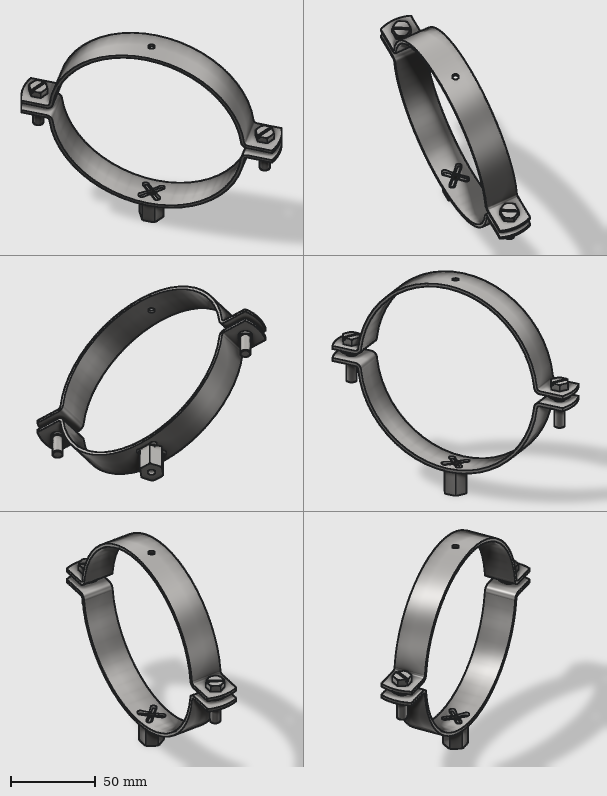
import cadquery as cq
import math

overall_length = 157.8
overall_height = 136.6
strap_width = 20.0
strap_thickness = 2.0
ring_radius = 60.1
ear_gap = 5.7
bend_radius = 2.0
ear_side_length = 76.8
top_hole_diameter = 3.8

screw_x = 69.4
shank_diameter = 6.3
shank_end_chamfer = 0.5
shank_bottom_z = -20.0
head_across_flats = 10.0
head_height = 4.3
slot_width = 1.3
slot_depth = 1.4
slot_angle = 60.0

hex_chamfer_width = 0.5
hex_chamfer_height = 0.5

collar_diameter = 8.2
collar_height = 1.9

washer_diameter = 13.0
washer_thickness = 0.5

nut_across_flats = 13.0
nut_bore_diameter = 4.4

cross_arm_length = 16.4
cross_groove_width = 3.3
cross_bump_width = 2.4
cross_depth = 0.8
cross_taper = 45.0
cross_angle = 45.0

inner_radius = ring_radius - strap_thickness
ear_inner_z = ear_gap / 2
ear_outer_z = ear_inner_z + strap_thickness
half_length = overall_length / 2
half_width = strap_width / 2
bend_center_z = ear_outer_z + bend_radius
ring_end_outer_x = math.sqrt(ring_radius ** 2 - bend_center_z ** 2)
ring_end_inner_x = math.sqrt(inner_radius ** 2 - bend_center_z ** 2)
bend_center_x = ring_end_outer_x + bend_radius
nut_bottom_z = ring_radius - overall_height


def bend_middle(radius):
    """Point halfway round a quarter-circle bend."""
    offset = radius * math.sqrt(0.5)
    return (bend_center_x - offset, bend_center_z - offset)


def mirror_x(point):
    return (-point[0], point[1])


def strap_half():
    """Upper half ring with a bent ear at each end and rounded ear tips."""
    ring_end_outer = (ring_end_outer_x, bend_center_z)
    ring_end_inner = (ring_end_inner_x, bend_center_z)
    outer_bend_middle = bend_middle(bend_radius)
    inner_bend_middle = bend_middle(bend_radius + strap_thickness)

    profile = (
        cq.Workplane("XZ", origin=(0, half_width, 0))
        .moveTo(half_length, ear_outer_z)
        .lineTo(bend_center_x, ear_outer_z)
        .threePointArc(outer_bend_middle, ring_end_outer)
        .threePointArc((0, ring_radius), mirror_x(ring_end_outer))
        .threePointArc(mirror_x(outer_bend_middle), (-bend_center_x, ear_outer_z))
        .lineTo(-half_length, ear_outer_z)
        .lineTo(-half_length, ear_inner_z)
        .lineTo(-bend_center_x, ear_inner_z)
        .threePointArc(mirror_x(inner_bend_middle), mirror_x(ring_end_inner))
        .threePointArc((0, inner_radius), ring_end_inner)
        .threePointArc(inner_bend_middle, (bend_center_x, ear_inner_z))
        .lineTo(half_length, ear_inner_z)
        .close()
        .extrude(strap_width)
    )
    plan = (
        cq.Workplane("XY")
        .moveTo(ear_side_length, -half_width)
        .threePointArc((half_length, 0), (ear_side_length, half_width))
        .lineTo(-ear_side_length, half_width)
        .threePointArc((-half_length, 0), (-ear_side_length, -half_width))
        .close()
        .extrude(ring_radius)
    )
    return profile.intersect(plan)


def screw_positions(z):
    return cq.Workplane("XY", origin=(0, 0, z)).pushPoints([(-screw_x, 0), (screw_x, 0)])


def screw_holes():
    return screw_positions(shank_bottom_z).circle(shank_diameter / 2).extrude(-2 * shank_bottom_z)


def make_upper_strap():
    top_hole = cq.Workplane("XY").circle(top_hole_diameter / 2).extrude(ring_radius)
    return strap_half().cut(screw_holes()).cut(top_hole)


def cross_arms(bottom_z, height, bottom_length, bottom_width):
    """Two crossed round-ended bars that widen upward from their bottom face."""
    arms = cq.Workplane("XY")
    for angle in (cross_angle, -cross_angle):
        arms = arms.union(
            cq.Workplane("XY", origin=(0, 0, bottom_z))
            .transformed(rotate=(0, 0, angle))
            .slot2D(bottom_length, bottom_width)
            .extrude(height, taper=-cross_taper)
        )
    return arms


def emboss_cross(strap):
    """Press a cross into the ring bottom: grooves inside, bumps outside."""
    floor_z = -inner_radius - cross_depth
    bump_z = -ring_radius - cross_depth
    narrowing = 2 * cross_depth * math.tan(math.radians(cross_taper))
    floor_length = cross_arm_length - narrowing
    floor_width = cross_groove_width - narrowing
    bump_length = floor_length + cross_bump_width - floor_width
    bumps = cross_arms(bump_z, strap_thickness, bump_length, cross_bump_width)
    grooves = cross_arms(floor_z, strap_thickness, floor_length, floor_width)
    return strap.union(bumps).cut(grooves)


def make_lower_strap():
    collars = screw_positions(-ear_outer_z).circle(collar_diameter / 2).extrude(-collar_height)
    strap = strap_half().mirror("XY").union(collars).cut(screw_holes())
    bore = cq.Workplane("XY").circle(nut_bore_diameter / 2).extrude(nut_bottom_z)
    return emboss_cross(strap).cut(bore)


def hexagon_prism(across_flats, height):
    """Hexagon with its corners chamfered round at the top, standing on Z = 0."""
    across_corners = across_flats / math.cos(math.radians(30))
    crown = (
        cq.Workplane("XY")
        .circle(across_corners / 2)
        .extrude(height)
        .faces(">Z")
        .chamfer(hex_chamfer_height, hex_chamfer_width)
    )
    return cq.Workplane("XY").polygon(6, across_corners).extrude(height).intersect(crown)


def make_screw(x):
    """Slotted hexagon-head screw seated on the upper ear."""
    shank = (
        cq.Workplane("XY", origin=(x, 0, shank_bottom_z))
        .circle(shank_diameter / 2)
        .extrude(ear_outer_z - shank_bottom_z)
        .faces("<Z")
        .chamfer(shank_end_chamfer)
    )
    head = hexagon_prism(head_across_flats, head_height).translate((x, 0, ear_outer_z))
    slot = (
        cq.Workplane("XY", origin=(x, 0, ear_outer_z + head_height))
        .transformed(rotate=(0, 0, slot_angle))
        .rect(2 * head_across_flats, slot_width)
        .extrude(-slot_depth)
    )
    return head.cut(slot).union(shank)


def make_washer(x):
    return (
        cq.Workplane("XY", origin=(x, 0, -washer_thickness / 2))
        .circle(washer_diameter / 2)
        .circle(shank_diameter / 2)
        .extrude(washer_thickness)
    )


def make_nut(strap):
    """Hexagon connection nut whose top fits the ring and its embossed cross."""
    ring_space = (
        cq.Workplane("XZ", origin=(0, strap_width, 0))
        .circle(ring_radius)
        .extrude(2 * strap_width)
    )
    bore = cq.Workplane("XY").circle(nut_bore_diameter / 2).extrude(nut_bottom_z)
    return (
        hexagon_prism(nut_across_flats, -inner_radius - nut_bottom_z)
        .mirror("XY")
        .translate((0, 0, -inner_radius))
        .cut(ring_space)
        .cut(strap)
        .cut(bore)
    )


upper_strap = make_upper_strap()
lower_strap = make_lower_strap()
nut = make_nut(lower_strap)
screws = [make_screw(x) for x in (-screw_x, screw_x)]
washers = [make_washer(x) for x in (-screw_x, screw_x)]

result = cq.Compound.makeCompound(
    [upper_strap.val(), lower_strap.val(), nut.val()]
    + [screw.val() for screw in screws]
    + [washer.val() for washer in washers]
)